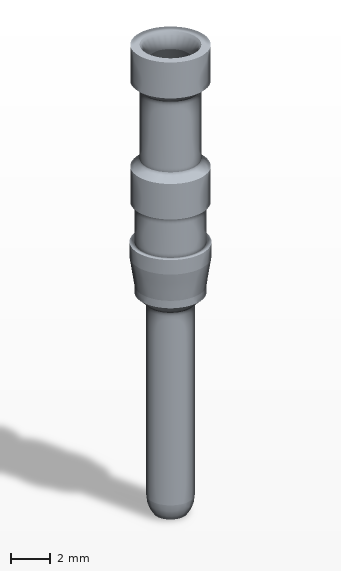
import cadquery as cq
import math

length = 26.75

collar_radius = 2.05
neck_radius = 1.58
waist_radius = 1.85
flange_radius = 2.1
pin_radius = 1.245
tip_radius = 0.88

tip_height = 1.0
shoulder_bottom = 12.0
shoulder_top = 12.57
taper_bottom = 13.0
flange_bottom = 14.63
flange_top = 15.45
band_bottom = 17.75
band_top = 19.8
head_bottom = 24.7
chamfer_height = 0.43

bore_radius = 1.1
mouth_radius = 1.58
mouth_depth = 0.8
bore_bottom = 19.8
drill_point_angle = 118.0

inspection_diameter = 0.8
inspection_height = 20.75


def tip_arc_middle():
    """Middle point of the tip arc, which meets the pin side tangentially."""
    inset = pin_radius - tip_radius
    arc_radius = (tip_height**2 + inset**2) / (2 * inset)
    half_sweep = math.asin(tip_height / arc_radius) / 2
    center_x = pin_radius - arc_radius
    return (
        center_x + arc_radius * math.cos(half_sweep),
        tip_height - arc_radius * math.sin(half_sweep),
    )


def make_body():
    """Revolve the stepped outline, with a rounded pin tip tangent to the pin."""
    return (
        cq.Workplane("XZ")
        .lineTo(tip_radius, 0)
        .threePointArc(tip_arc_middle(), (pin_radius, tip_height))
        .lineTo(pin_radius, shoulder_bottom)
        .lineTo(waist_radius, shoulder_top)
        .lineTo(waist_radius, taper_bottom)
        .lineTo(flange_radius, flange_bottom)
        .lineTo(flange_radius, flange_top)
        .lineTo(waist_radius, flange_top)
        .lineTo(waist_radius, band_bottom)
        .lineTo(collar_radius, band_bottom)
        .lineTo(collar_radius, band_top)
        .lineTo(neck_radius, band_top + chamfer_height)
        .lineTo(neck_radius, head_bottom - chamfer_height)
        .lineTo(collar_radius, head_bottom)
        .lineTo(collar_radius, length)
        .lineTo(0, length)
        .close()
        .revolve(360, (0, 0), (0, 1))
    )


def make_bore():
    """Drilled bore with a pointed floor and a flared mouth."""
    point_depth = bore_radius / math.tan(math.radians(drill_point_angle / 2))
    return (
        cq.Workplane("XZ")
        .moveTo(0, bore_bottom - point_depth)
        .lineTo(bore_radius, bore_bottom)
        .lineTo(bore_radius, length - mouth_depth)
        .lineTo(mouth_radius, length)
        .lineTo(0, length)
        .close()
        .revolve(360, (0, 0), (0, 1))
    )


def make_inspection_hole():
    """Radial hole from the bore axis out through the -X side."""
    return (
        cq.Workplane("YZ")
        .center(0, inspection_height)
        .circle(inspection_diameter / 2)
        .extrude(-collar_radius)
    )


result = make_body().cut(make_bore()).cut(make_inspection_hole())